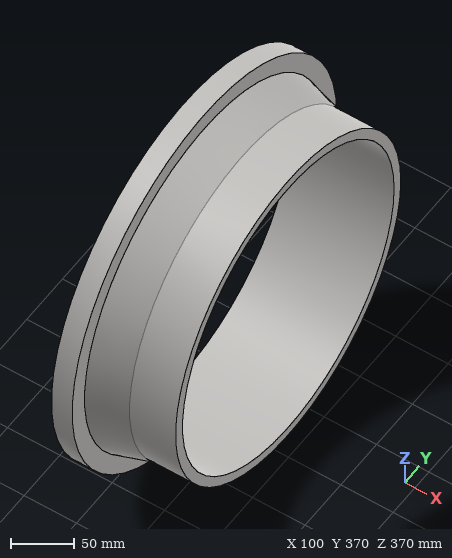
import cadquery as cq

total_length = 100.0
flange_thickness = 20.0
cone_end = 56.0

flange_diameter = 370.0
cone_diameter = 335.5
sleeve_diameter = 315.0
bore_diameter = 295.5

half_section = (
    cq.Workplane("XY")
    .moveTo(0, bore_diameter / 2)
    .lineTo(0, flange_diameter / 2)
    .lineTo(flange_thickness, flange_diameter / 2)
    .lineTo(flange_thickness, cone_diameter / 2)
    .lineTo(cone_end, sleeve_diameter / 2)
    .lineTo(total_length, sleeve_diameter / 2)
    .lineTo(total_length, bore_diameter / 2)
    .close()
)

result = half_section.revolve(360, (0, 0, 0), (1, 0, 0))